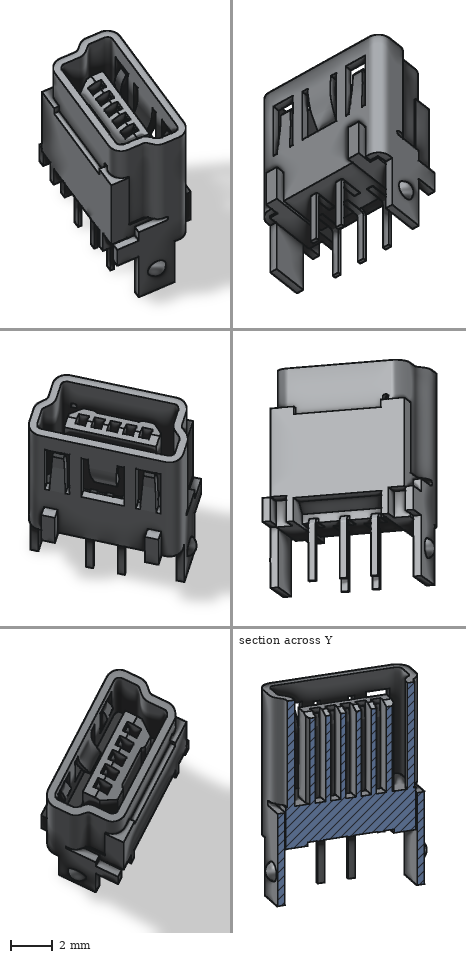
import cadquery as cq
import math


total_height = 10.6
bottom_z = 2.89
floor_z = 5.09
eps = 0.05

sheet = 0.4
shell_front_y = 0.29
shell_back_y = 4.19
shell_half_wide = 3.85
shell_half_narrow = 3.34
flank_y_low = 1.92
flank_y_high = 2.43
outer_radius = 0.7
inner_radius = outer_radius - sheet
shell_bottom_z = 3.01
inner_back_y = shell_back_y - sheet

strap_front_y = 1.28
strap_back_y = 3.29
strap_foot_y = 0.08
strap_foot_top_z = 4.2
relief_width = 0.26
relief_end_y = 2.92
dimple_y = (strap_front_y + strap_back_y) / 2
dimple_z = 1.6
dimple_base_radius = 0.5
dimple_height = 0.33

housing_half = 3.41
cheek_depth = 1.01
cheek_top_z = 8.6
notch_half = 2.22
notch_z = 8.22
seam_width = 0.3
seam_top_z = 8.93
ear_inner = 2.25
ear_outer = 2.93
ear_back_y = 4.7
ear_top_z = 4.93
corner_inner = 2.6
corner_depth = 0.89
recess_half = 2.25
recess_top_z = 4.06
recess_slope = 0.51
recess_back_y = 1.38
belly_z = 3.08

tongue_half = 2.3
tongue_back_y = 2.76
tongue_top_z = 9.71
tongue_slope_y = 2.1
tongue_slope_angle = 23.0
tongue_corner_y = 1.84
tongue_foot_y = 1.12
tongue_foot_outer = 1.78
tongue_foot_inner = 1.2
tongue_middle_y = 1.26
tongue_middle_half = 1.03

pitch = 0.8
pin_count = 5
pin_width = 0.36
pin_thick = 0.2
pin_tip_z = 0.11
pin_top_z = 3.25
pin_bend_radius = 0.36
front_row_y = 0.88
back_row_y = 3.68
groove_width = 0.51
groove_back_y = 2.41
groove_front_y = 1.66
contact_depth = 0.17
contact_tip_depth = 0.07
contact_slant = 0.64
contact_clearance = 0.25
stub_back_y = 3.14
stub_height = 0.11

window_bottom_z = 6.36
latch_window_half = 1.07
latch_window_top_z = 9.45
latch_half_top = 0.73
latch_half_tip = 0.57
latch_bend_z = 8.84
latch_bend_radius = 2.23
latch_lean = 25.0
latch_tip_y = 3.2
side_window_inner = 1.66
side_window_outer = 2.89
side_window_top_z = 9.54
tab_center_x = 2.27
tab_half_top = 0.28
tab_half_root = 0.4
tab_top_z = 9.07
tab_top_y = 3.89
tab_crest_y = 3.55
tab_crest_z = 8.06
tab_rear_y = 4.02
tab_rear_z = 8.88


def block(x0, x1, y0, y1, z0, z1):
    """Axis-aligned box between two corners."""
    return cq.Workplane("XY").box(x1 - x0, y1 - y0, z1 - z0, centered=False).translate((x0, y0, z0))


def both_sides(body):
    """The body together with its mirror image across X = 0."""
    return body.union(body.mirror("YZ"))


def side_profile(points, half_width):
    """Closed (y, z) outline extruded symmetrically about X = 0."""
    return cq.Workplane("YZ").polyline(points).close().extrude(half_width, both=True)


def shell_outline(z0, z1):
    """Solid block with the outer outline of the shell."""
    right = [
        (shell_half_narrow, shell_front_y),
        (shell_half_narrow, flank_y_low),
        (shell_half_wide, flank_y_high),
        (shell_half_wide, shell_back_y),
    ]
    left = [(-x, y) for x, y in reversed(right)]
    body = cq.Workplane("XY").workplane(offset=z0).polyline(right + left).close().extrude(z1 - z0)
    concave = cq.selectors.BoxSelector(
        (-shell_half_narrow - eps, flank_y_low - eps, z0 - eps),
        (shell_half_narrow + eps, flank_y_low + eps, z1 + eps),
    )
    body = body.edges("|Z").edges(concave).fillet(inner_radius)
    convex = (
        cq.selectors.BoxSelector(
            (-shell_half_wide - eps, shell_front_y - eps, z0 - eps),
            (shell_half_wide + eps, shell_front_y + eps, z1 + eps),
        )
        + cq.selectors.BoxSelector(
            (-shell_half_wide - eps, flank_y_high - eps, z0 - eps),
            (shell_half_wide + eps, shell_back_y + eps, z1 + eps),
        )
    )
    return body.edges("|Z").edges(convex).fillet(outer_radius)


def make_cavity():
    """Space enclosed by the shell, open at top and bottom."""
    bottom_wire = shell_outline(shell_bottom_z, total_height).faces("<Z").wires().val()
    inset = bottom_wire.offset2D(-sheet)[0]
    upward = cq.Vector(0, 0, total_height - shell_bottom_z)
    return cq.Workplane("XY").add(cq.Solid.extrudeLinear(inset, [], upward))


def make_seam():
    """Round-ended slot in the front wall of the shell."""
    radius = seam_width / 2
    end_z = seam_top_z - radius
    depth = shell_front_y + sheet
    seam = block(notch_half, notch_half + seam_width, 0, depth, notch_z, end_z)
    round_end = cq.Workplane("XZ").center(notch_half + radius, end_z).circle(radius).extrude(-depth)
    return seam.union(round_end)


def make_strap():
    """Solder strap of the right side, with its foot and dimple."""
    relief_radius = relief_width / 2
    relief_y = relief_end_y - relief_radius
    plate = (
        cq.Workplane("YZ")
        .workplane(offset=shell_half_wide - sheet)
        .moveTo(strap_front_y, 0)
        .lineTo(strap_back_y, 0)
        .lineTo(strap_back_y, floor_z)
        .lineTo(relief_y, floor_z)
        .threePointArc((relief_end_y, floor_z - relief_radius), (relief_y, floor_z - relief_width))
        .lineTo(strap_front_y, floor_z - relief_width)
        .lineTo(strap_front_y, strap_foot_top_z)
        .lineTo(strap_foot_y, strap_foot_top_z)
        .lineTo(strap_foot_y, shell_bottom_z)
        .lineTo(strap_front_y, shell_bottom_z)
        .close()
        .extrude(sheet)
    )
    ball_radius = (dimple_base_radius**2 + dimple_height**2) / (2 * dimple_height)
    ball_x = shell_half_wide + dimple_height - ball_radius
    half_angle = math.atan2(dimple_base_radius, shell_half_wide - ball_x) / 2
    rim_middle = (
        ball_x + ball_radius * math.cos(half_angle),
        ball_radius * math.sin(half_angle),
    )
    dimple = (
        cq.Workplane("XY")
        .moveTo(shell_half_wide - eps, 0)
        .lineTo(shell_half_wide + dimple_height, 0)
        .threePointArc(rim_middle, (shell_half_wide, dimple_base_radius))
        .lineTo(shell_half_wide - eps, dimple_base_radius)
        .close()
        .revolve(360, (0, 0, 0), (1, 0, 0))
        .translate((0, dimple_y, dimple_z))
    )
    return plate.union(dimple)


def make_shell(cavity):
    """Tube of sheet metal with windows, seam and straps."""
    shell = shell_outline(shell_bottom_z, total_height).cut(cavity).cut(make_seam())
    shell = shell.cut(
        block(-shell_half_wide, shell_half_wide, 0, strap_back_y, shell_bottom_z, floor_z)
    )
    shell = shell.cut(
        block(-latch_window_half, latch_window_half, inner_back_y - eps, shell_back_y,
              window_bottom_z, latch_window_top_z)
    )
    side_window = block(side_window_inner, side_window_outer, inner_back_y - eps, shell_back_y,
                        window_bottom_z, side_window_top_z)
    shell = shell.cut(both_sides(side_window))
    return shell.union(both_sides(make_strap()))


def tapered_plate(center_x, half_top, top_z, half_low, low_z):
    """Trapezoid seen along Y, used to trim the flanks of a spring."""
    outline = [
        (center_x - half_top, top_z),
        (center_x + half_top, top_z),
        (center_x + half_low, low_z),
        (center_x - half_low, low_z),
    ]
    return cq.Workplane("XZ").polyline(outline).close().extrude(-ear_back_y)


def make_latch():
    """Centre spring: hangs from the back wall and leans into the cavity."""
    lean = math.radians(latch_lean)
    half_lean = lean / 2
    center_y = inner_back_y - latch_bend_radius

    def on_bend(radius, angle):
        return (center_y + radius * math.cos(angle), latch_bend_z - radius * math.sin(angle))

    outer = latch_bend_radius + sheet
    bend_end_y, bend_end_z = on_bend(latch_bend_radius, lean)
    straight = (bend_end_y - latch_tip_y) / math.sin(lean)
    tip_z = bend_end_z - straight * math.cos(lean)
    back_tip = (latch_tip_y + sheet * math.cos(lean), tip_z - sheet * math.sin(lean))
    strip = (
        cq.Workplane("YZ")
        .moveTo(inner_back_y, latch_window_top_z)
        .lineTo(inner_back_y, latch_bend_z)
        .threePointArc(on_bend(latch_bend_radius, half_lean), (bend_end_y, bend_end_z))
        .lineTo(latch_tip_y, tip_z)
        .lineTo(*back_tip)
        .lineTo(*on_bend(outer, lean))
        .threePointArc(on_bend(outer, half_lean), (shell_back_y, latch_bend_z))
        .lineTo(shell_back_y, latch_window_top_z)
        .close()
        .extrude(latch_half_top, both=True)
    )
    trim = tapered_plate(0, latch_half_top, latch_window_top_z, latch_half_tip, back_tip[1])
    return strip.intersect(trim)


def make_side_tab():
    """Right side tab: rises from its window sill and bulges into the cavity."""
    run = tab_top_y - tab_crest_y
    rise = tab_top_z - tab_crest_z
    radius = (run**2 + rise**2) / (2 * run)
    half_angle = math.asin(rise / radius) / 2
    middle = (
        tab_crest_y + radius * (1 - math.cos(half_angle)),
        tab_crest_z + radius * math.sin(half_angle),
    )
    tab = (
        cq.Workplane("YZ")
        .moveTo(tab_rear_y, tab_rear_z)
        .lineTo(tab_top_y, tab_top_z)
        .threePointArc(middle, (tab_crest_y, tab_crest_z))
        .lineTo(inner_back_y, window_bottom_z)
        .lineTo(shell_back_y, window_bottom_z)
        .lineTo(tab_rear_y, tab_crest_z)
        .close()
        .extrude(side_window_outer)
    )
    return tab.intersect(
        tapered_plate(tab_center_x, tab_half_top, tab_top_z, tab_half_root, window_bottom_z)
    )


def make_housing(cavity):
    """Plastic body: base block, front wall, ears, corner reliefs and pin recess."""
    base = block(-housing_half, housing_half, 0, inner_back_y + eps, bottom_z, floor_z)
    cheek = block(-housing_half, housing_half, 0, cheek_depth, floor_z, cheek_top_z)
    cheek = cheek.cut(cavity)
    cheek = cheek.cut(block(-notch_half, notch_half, 0, shell_front_y, notch_z, cheek_top_z))
    ear = block(ear_inner, ear_outer, inner_back_y, ear_back_y, bottom_z, ear_top_z)
    corner = block(corner_inner, housing_half, 0, corner_depth, bottom_z, strap_foot_top_z)
    recess = side_profile(
        [
            (0, bottom_z),
            (0, recess_top_z),
            (recess_back_y - recess_slope, recess_top_z),
            (recess_back_y, recess_top_z - recess_slope),
            (recess_back_y, bottom_z),
        ],
        recess_half,
    )
    body = base.union(cheek).union(both_sides(ear))
    return body.cut(both_sides(corner)).cut(recess)


def pin_positions():
    """X position of every pin, from left to right."""
    return [(i - (pin_count - 1) / 2) * pitch for i in range(pin_count)]


def make_tongue():
    """Tongue with lead-in slope, contact grooves and contacts."""
    right = [
        (tongue_half, tongue_back_y),
        (tongue_half, tongue_corner_y),
        (tongue_foot_outer, tongue_foot_y),
        (tongue_foot_inner, tongue_foot_y),
        (tongue_middle_half, tongue_middle_y),
    ]
    left = [(-x, y) for x, y in reversed(right)]
    tongue = (
        cq.Workplane("XY")
        .workplane(offset=floor_z - eps)
        .polyline(right + left)
        .close()
        .extrude(tongue_top_z - floor_z + eps)
    )
    slope_drop = tongue_slope_y * math.tan(math.radians(tongue_slope_angle))
    lead_in = side_profile(
        [(tongue_slope_y, tongue_top_z), (0, tongue_top_z), (0, tongue_top_z - slope_drop)],
        tongue_half,
    )
    tongue = tongue.cut(lead_in)
    contact_top_z = tongue_top_z - contact_clearance
    contact = side_profile(
        [
            (groove_back_y + eps, floor_z - eps),
            (groove_back_y + eps, contact_top_z),
            (groove_back_y - contact_tip_depth, contact_top_z),
            (groove_back_y - contact_depth, contact_top_z - contact_slant),
            (groove_back_y - contact_depth, floor_z - eps),
        ],
        pin_width / 2,
    )
    for x in pin_positions():
        half_groove = groove_width / 2
        half_pin = pin_width / 2
        tongue = tongue.cut(
            block(x - half_groove, x + half_groove, groove_front_y, groove_back_y, floor_z, tongue_top_z)
        )
        tongue = tongue.union(contact.translate((x, 0, 0)))
        tongue = tongue.union(
            block(x - half_pin, x + half_pin, tongue_back_y - eps, stub_back_y,
                  floor_z - eps, floor_z + stub_height)
        )
    return tongue


def make_pin(x, outer_y):
    """Pin that runs level from mid-depth to a bend, then straight down."""
    middle_y = (front_row_y + back_row_y) / 2
    inward = math.copysign(1, middle_y - outer_y)
    bend_y = outer_y + inward * pin_bend_radius
    bend_z = pin_top_z - pin_bend_radius
    inner_bend = pin_bend_radius - pin_thick
    diagonal = math.sqrt(0.5)
    return (
        cq.Workplane("YZ")
        .workplane(offset=x - pin_width / 2)
        .moveTo(middle_y, pin_top_z)
        .lineTo(bend_y, pin_top_z)
        .threePointArc(
            (bend_y - inward * pin_bend_radius * diagonal, bend_z + pin_bend_radius * diagonal),
            (outer_y, bend_z),
        )
        .lineTo(outer_y, pin_tip_z)
        .lineTo(outer_y + inward * pin_thick, pin_tip_z)
        .lineTo(outer_y + inward * pin_thick, bend_z)
        .threePointArc(
            (bend_y - inward * inner_bend * diagonal, bend_z + inner_bend * diagonal),
            (bend_y, pin_top_z - pin_thick),
        )
        .lineTo(middle_y, pin_top_z - pin_thick)
        .close()
        .extrude(pin_width)
    )


cavity = make_cavity()
belly = block(-recess_half, recess_half, 0, ear_back_y, bottom_z, belly_z)
result = make_shell(cavity).union(make_housing(cavity)).cut(belly)
result = result.union(make_latch()).union(both_sides(make_side_tab())).union(make_tongue())
for index, pin_x in enumerate(pin_positions()):
    row_y = front_row_y if index % 2 == 0 else back_row_y
    result = result.union(make_pin(pin_x, row_y))